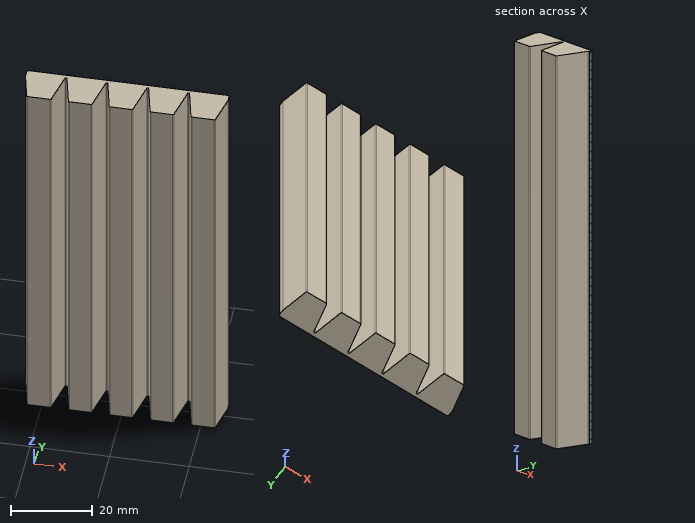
import cadquery as cq
import math

length = 101.6
width = 50.9
depth = 9.7

rib_count = 5
web_thickness = 1.0
root_width = 0.4
rib_pitch = (width + root_width) / rib_count
flank_angle = 13.0

side_land = 1.9
back_radius = 0.6
tip_radius = 0.3
root_radius = 0.15

back_y = depth / 2
tip_y = -depth / 2
root_y = back_y - web_thickness
flank_slope = math.tan(math.radians(flank_angle))


def flank_run(start_y):
    """Sideways travel of a sloping flank from start_y to the rib tips."""
    return (start_y - tip_y) * flank_slope


def make_profile():
    """Closed outline of the ribbed plate, with sharp corners."""
    side_x = width / 2
    land_end_y = back_y - side_land
    outer_tip_x = side_x - flank_run(land_end_y)
    root_half = root_width / 2
    mouth_half = root_half + flank_run(root_y)

    points = [(-side_x, back_y), (-side_x, land_end_y), (-outer_tip_x, tip_y)]
    for groove in range(rib_count - 1):
        center_x = (groove - (rib_count - 2) / 2) * rib_pitch
        points += [
            (center_x - mouth_half, tip_y),
            (center_x - root_half, root_y),
            (center_x + root_half, root_y),
            (center_x + mouth_half, tip_y),
        ]
    points += [(outer_tip_x, tip_y), (side_x, land_end_y), (side_x, back_y)]
    return cq.Workplane("XY").polyline(points).close()


plate = make_profile().extrude(length).translate((0, 0, -length / 2))

plate = plate.faces(">Y").edges("|Z").fillet(back_radius)
plate = plate.faces("<Y").edges("|Z").fillet(tip_radius)
root_edges = plate.faces(cq.selectors.BoxSelector(
    (-width / 2, root_y - root_radius / 2, -length / 2),
    (width / 2, root_y + root_radius / 2, length / 2),
)).edges("|Z")
result = root_edges.fillet(root_radius)